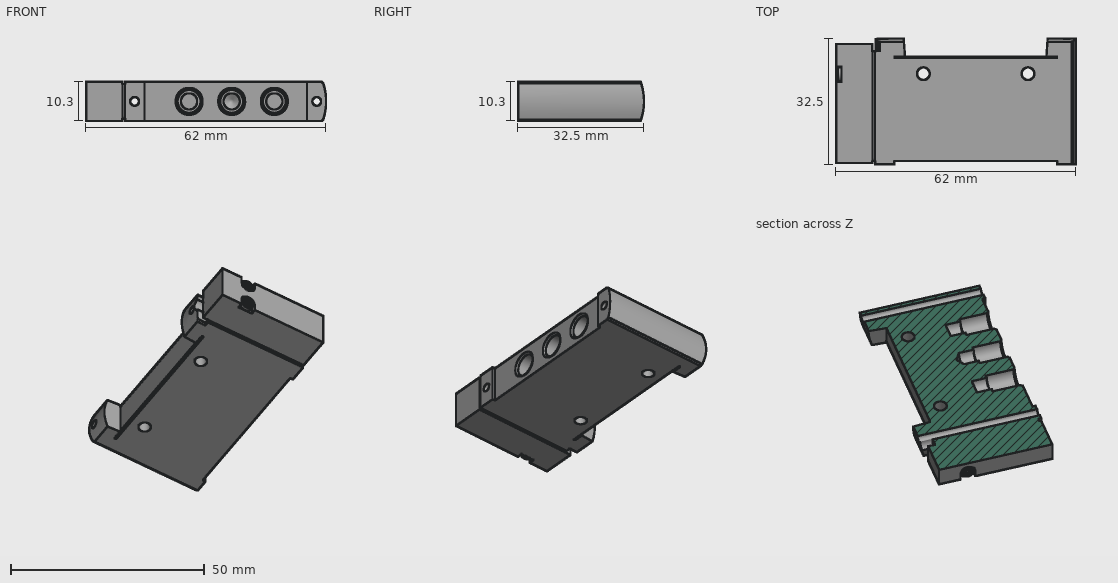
import cadquery as cq
import math

length = 62.0
depth = 32.5
thickness = 10.25
half_thickness = thickness / 2

cap_length = 9.4
cap_front_y = 0.3
cap_back_y = 31.1
gasket_end_x = 10.1
gasket_front_y = 0.8
gasket_back_y = 29.2
gasket_inset = 0.6
gasket_corner_radius = 0.8

end_block_length = 4.95
body_start_x = gasket_end_x + end_block_length
body_end_x = length - end_block_length
body_middle_x = (body_start_x + body_end_x) / 2
body_front_y = 0.8
body_back_y = 27.8
body_edge_chamfer = 0.4

crown_radius = 15.0
crown_chamfer_x = 0.5
crown_chamfer_z = 0.45
tab_length = 2.45
tab_taper_angle = 4.0
end_hole_diameter = 2.2
end_hole_inset = 2.45

groove_diameter = 4.2
groove_width = 3.8

mounting_hole_diameter = 3.2
mounting_hole_pitch = 27.0
mounting_hole_y = 23.4

port_pitch = 11.0
port_middle_x = 37.6
port_mouth_diameter = 7.0
port_thread_diameter = 5.92
port_bore_diameter = 4.2
port_thread_depth = 8.0
port_bore_depth = 12.0
drill_point_angle = 118.0

screw_y = 23.25
screw_z = 3.35
recess_width = 4.0
recess_depth = 1.45
screw_head_diameter = 3.4
screw_head_sink = 0.1
screw_head_chamfer = 0.35
socket_diameter = 1.8
socket_depth = 0.7


def block(x0, x1, y0, y1, height):
    """Box between two X and two Y positions, centred on Z = 0."""
    return cq.Workplane("XY").box(x1 - x0, y1 - y0, height).translate(((x0 + x1) / 2, (y0 + y1) / 2, 0))


def cylinder_y(x, z, diameter, y0, y1):
    """Cylinder along +Y from y0 to y1."""
    return cq.Workplane(cq.Solid.makeCylinder(
        diameter / 2, y1 - y0, cq.Vector(x, y0, z), cq.Vector(0, 1, 0)))


def cone_y(x, start_diameter, end_diameter, y0, y1):
    """Cone along +Y from y0 to y1 on the middle plane of the thickness."""
    return cq.Workplane(cq.Solid.makeCone(
        start_diameter / 2, end_diameter / 2, y1 - y0, cq.Vector(x, y0, 0), cq.Vector(0, 1, 0)))


def cylinder_x(y, z, diameter, x0, x1):
    """Cylinder along +X from x0 to x1."""
    return cq.Workplane(cq.Solid.makeCylinder(
        diameter / 2, x1 - x0, cq.Vector(x0, y, z), cq.Vector(1, 0, 0)))


def crown_drop(z):
    """Fall of the crown below its peak at height z."""
    return crown_radius - math.sqrt(crown_radius**2 - z**2)


def crowned_flange_and_tab():
    """Flange and tab of the +X end block, crowned on the +X and +Y faces."""
    arc_z = half_thickness - crown_chamfer_z
    arc_x = length - crown_drop(arc_z)
    edge_x = arc_x - crown_chamfer_x
    tab_x = body_end_x - tab_length
    inner_x = tab_x - tab_length
    side_profile = (
        cq.Workplane("XZ")
        .moveTo(inner_x, -half_thickness)
        .lineTo(edge_x, -half_thickness)
        .lineTo(arc_x, -arc_z)
        .threePointArc((length, 0), (arc_x, arc_z))
        .lineTo(edge_x, half_thickness)
        .lineTo(inner_x, half_thickness)
        .close()
        .extrude(-depth)
    )

    edge_y = depth - crown_drop(half_thickness)
    back_profile = (
        cq.Workplane("YZ", origin=(inner_x, 0, 0))
        .moveTo(0, -half_thickness)
        .lineTo(edge_y, -half_thickness)
        .threePointArc((depth, 0), (edge_y, half_thickness))
        .lineTo(0, half_thickness)
        .close()
        .extrude(length - inner_x)
    )
    crowned = side_profile.intersect(back_profile)

    tab_root_x = tab_x - (depth - body_back_y) * math.tan(math.radians(tab_taper_angle))
    tab = (
        cq.Workplane("XY", origin=(0, 0, -half_thickness))
        .polyline([
            (body_end_x, body_back_y),
            (tab_root_x, body_back_y),
            (tab_x, depth),
            (body_end_x, depth),
        ])
        .close()
        .extrude(thickness)
    )
    flange = block(body_end_x, length, 0, depth, thickness)
    return crowned.intersect(flange), crowned.intersect(tab)


def mirrored_to_cap_side(piece):
    return piece.mirror("YZ", (body_middle_x, 0, 0))


def cap_side_flange(flange):
    """Mirrored flange, flat where the gasket seats and grooved above it."""
    seat = block(gasket_end_x, body_start_x, 0, gasket_back_y, thickness)
    crown_x = gasket_end_x + crown_drop(groove_width / 2)
    groove_x = crown_x - math.sqrt(groove_diameter**2 - groove_width**2) / 2
    groove = cylinder_y(groove_x, 0, groove_diameter, gasket_back_y, depth)
    return mirrored_to_cap_side(flange).cut(groove).union(seat)


def valve_body():
    body = block(body_start_x, body_end_x, body_front_y, body_back_y, thickness)
    return body.faces(">Y").edges("|X").chamfer(body_edge_chamfer)


def gasket():
    height = thickness - 2 * gasket_inset
    plate = block(cap_length, gasket_end_x, gasket_front_y, gasket_back_y, height)
    return plate.edges("|X").fillet(gasket_corner_radius)


def pilot_cap():
    """Cap with two sunk socket-head screws."""
    cap = block(0, cap_length, cap_front_y, cap_back_y, thickness)
    for side in (1, -1):
        z = side * screw_z
        open_part = cq.Workplane("XY").box(recess_depth, recess_width, half_thickness)
        open_part = open_part.translate((recess_depth / 2, screw_y, z + side * half_thickness / 2))
        cap = cap.cut(cylinder_x(screw_y, z, recess_width, 0, recess_depth)).cut(open_part)

        head = cylinder_x(screw_y, z, screw_head_diameter, screw_head_sink, recess_depth)
        head = head.faces("<X").edges().chamfer(screw_head_chamfer)
        socket_end_x = screw_head_sink + socket_depth
        head = head.cut(cylinder_x(screw_y, z, socket_diameter, screw_head_sink, socket_end_x))
        cap = cap.union(head)
    return cap


def port(x):
    """Countersunk stepped port running in from the front face of the body."""
    mouth_depth = (port_mouth_diameter - port_thread_diameter) / 2
    mouth = cone_y(x, port_mouth_diameter, port_thread_diameter, body_front_y, body_front_y + mouth_depth)
    thread = cylinder_y(x, 0, port_thread_diameter, body_front_y, body_front_y + port_thread_depth)
    bore = cylinder_y(x, 0, port_bore_diameter, body_front_y, body_front_y + port_bore_depth)
    return mouth.union(thread).union(bore)


def drill_point(x):
    """Conical end of a port bore."""
    start_y = body_front_y + port_bore_depth
    point_length = port_bore_diameter / 2 / math.tan(math.radians(drill_point_angle / 2))
    return cone_y(x, port_bore_diameter, 0, start_y, start_y + point_length)


far_flange, far_tab = crowned_flange_and_tab()
near_flange = cap_side_flange(far_flange)
near_tab = mirrored_to_cap_side(far_tab)

result = valve_body()
for piece in (far_flange, far_tab, near_flange, near_tab, gasket(), pilot_cap()):
    result = result.union(piece, clean=False)

for offset in (-port_pitch, 0, port_pitch):
    result = result.cut(port(port_middle_x + offset), clean=False)
result = result.cut(drill_point(port_middle_x), clean=False)

for hole_x in (gasket_end_x + end_hole_inset, length - end_hole_inset):
    result = result.cut(cylinder_y(hole_x, 0, end_hole_diameter, 0, depth), clean=False)

for side in (-1, 1):
    mounting_hole = (
        cq.Workplane("XY", origin=(0, 0, -half_thickness))
        .center(body_middle_x + side * mounting_hole_pitch / 2, mounting_hole_y)
        .circle(mounting_hole_diameter / 2)
        .extrude(thickness)
    )
    result = result.cut(mounting_hole, clean=False)